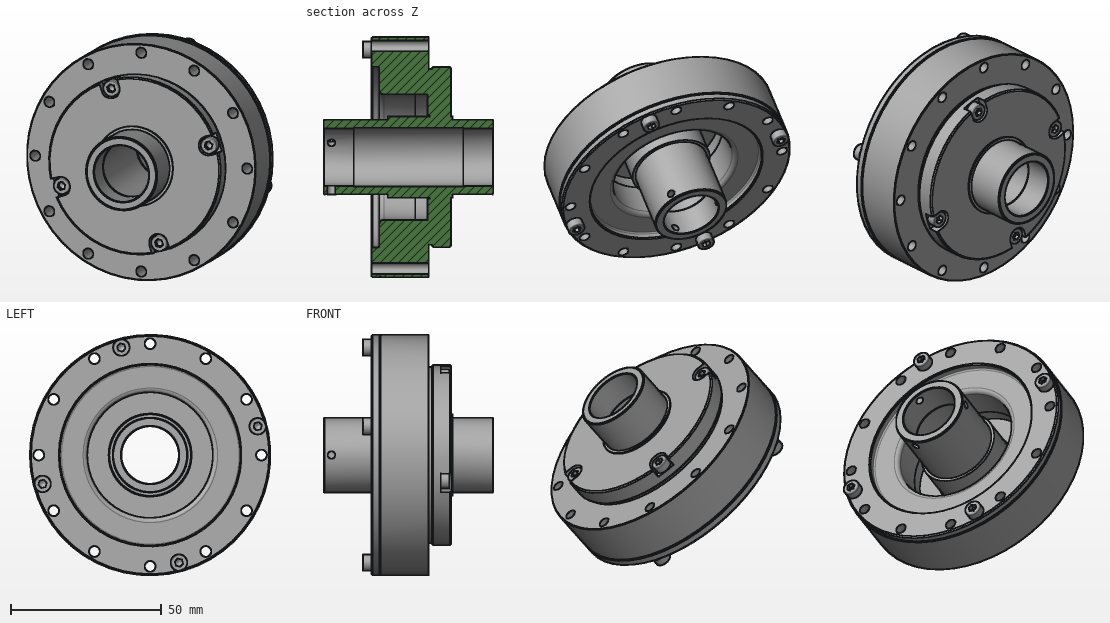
import cadquery as cq
import math


tube_length = 56.5
tube_diameter = 25.0
bore_diameter = 19.0
bore_chamfer = 0.2
bore_land_length = 10.0
bore_relief_diameter = 19.5
tube_chamfer_length = 0.5
tube_chamfer_depth = 0.2
pin_hole_diameter = 2.5
pin_hole_x = 2.6
pin_hole_count = 3

collar_diameter = 27.0
collar_start = 21.3
collar_end = 42.9
collar_groove_diameter = 27.7
collar_groove_depth = 0.8

housing_diameter = 80.0
flange_face = 15.9
flange_chamfer = 0.5
groove_start = 18.6
groove_width = 0.5
groove_depth = 0.2
body_end = 35.0
body_chamfer = 0.2

recess_diameter = 60.0
recess_depth = 2.6
recess_chamfer = 0.4
recess_fillet = 0.5
cavity_diameter = 41.7
cavity_mouth_fillet = 1.5
cavity_floor = 34.5
cavity_rear_diameter = 41.8
cavity_rear_start = 30.5

neck_diameter = 58.6
ring_diameter = 60.0
ring_start = 36.0
ring_end = 42.4
ring_chamfer = 0.5

flange_bolt_circle = 74.0
flange_hole_diameter = 3.5
flange_hole_count = 12
screw_count = 4
flange_screw_angle = -15.0
head_diameter = 5.5
head_height = 2.9
head_fillet = 0.2
socket_across_flats = 2.5
socket_depth = 1.5
socket_point_angle = 120.0

ring_bolt_circle = 54.0
ring_screw_angle = 18.0
ring_slot_width = 6.5
ring_slot_floor = 39.0


def turned(x_start, x_end, diameter):
    """Cylinder along X."""
    return cq.Workplane("YZ", origin=(x_start, 0, 0)).circle(diameter / 2).extrude(x_end - x_start)


def around_axis(shape, angle):
    """Shape turned about the X axis; positive angles run from +Y towards +Z."""
    return shape.rotate((0, 0, 0), (1, 0, 0), angle)


def make_housing():
    groove_end = groove_start + groove_width
    flange = turned(flange_face, groove_start, housing_diameter).faces("<X").chamfer(flange_chamfer)
    groove = turned(groove_start, groove_end, housing_diameter - 2 * groove_depth)
    body = turned(groove_end, body_end, housing_diameter).faces(">X").chamfer(body_chamfer)
    neck = turned(body_end, ring_start, neck_diameter)
    ring = turned(ring_start, ring_end, ring_diameter).faces("<X or >X").chamfer(ring_chamfer)
    return flange.union(groove).union(body).union(neck).union(ring)


def cut_front_opening(housing):
    recess_floor = flange_face + recess_depth
    recess = turned(flange_face, recess_floor, recess_diameter)
    recess = recess.faces(">X").edges().fillet(recess_fillet)
    cavity = turned(recess_floor, cavity_floor, cavity_diameter)
    cavity_rear = turned(cavity_rear_start, cavity_floor, cavity_rear_diameter)
    collar_groove = turned(cavity_floor, cavity_floor + collar_groove_depth, collar_groove_diameter)
    housing = housing.cut(recess).cut(cavity).cut(cavity_rear).cut(collar_groove)
    inner_edge = cq.selectors.RadiusNthSelector(0)
    recess_floor_face = cq.selectors.NearestToPointSelector((recess_floor, 0, 0))
    housing = housing.faces("|X").faces(recess_floor_face).edges(inner_edge).fillet(cavity_mouth_fillet)
    return housing.faces("<X").edges(inner_edge).chamfer(recess_chamfer)


def make_tube():
    tube = turned(0, tube_length, tube_diameter)
    tube = tube.faces("<X").chamfer(tube_chamfer_length, tube_chamfer_depth)
    tube = tube.faces(">X").chamfer(tube_chamfer_depth, tube_chamfer_length)
    collar = turned(collar_start, collar_end, collar_diameter)
    return tube.union(collar)


def cut_bore(part):
    """Through bore with chamfered ends and a slightly wider relief between its two lands."""
    bore = turned(0, tube_length, bore_diameter)
    relief = turned(bore_land_length, tube_length - bore_land_length, bore_relief_diameter)
    bore_rims = cq.selectors.RadiusNthSelector(0)
    part = part.cut(bore)
    part = part.faces("<X or >X").edges(bore_rims).chamfer(bore_chamfer)
    return part.cut(relief)


def cut_pin_holes(part):
    """Radial holes through the tube wall, the first one towards -Y."""
    hole = cq.Workplane("XZ", origin=(pin_hole_x, 0, 0)).circle(pin_hole_diameter / 2).extrude(tube_diameter)
    for i in range(pin_hole_count):
        part = part.cut(around_axis(hole, i * 360 / pin_hole_count))
    return part


def make_screw_head(seat_x, bolt_circle, angle, top):
    """Socket head on a seat at seat_x; top is -1 or 1 for a head rising towards -X or +X."""
    head = turned(0, head_height, head_diameter).faces(">X").edges().fillet(head_fillet)
    corner_diameter = socket_across_flats / math.cos(math.radians(30))
    cone_height = corner_diameter / 2 / math.tan(math.radians(socket_point_angle / 2))
    hexagon = cq.Workplane("YZ").polygon(6, corner_diameter).extrude(head_height)
    pointed_bore = (
        cq.Workplane("XY")
        .moveTo(head_height - socket_depth - cone_height, 0)
        .lineTo(head_height - socket_depth, corner_diameter / 2)
        .lineTo(head_height, corner_diameter / 2)
        .lineTo(head_height, 0)
        .close()
        .revolve(360, (0, 0, 0), (1, 0, 0))
    )
    head = head.cut(hexagon.intersect(pointed_bore))
    if top < 0:
        head = head.mirror("YZ")
    return around_axis(head.translate((seat_x, bolt_circle / 2, 0)), angle)


def cut_flange_holes(part):
    hole = turned(flange_face, body_end, flange_hole_diameter).translate((0, flange_bolt_circle / 2, 0))
    for i in range(flange_hole_count):
        part = part.cut(around_axis(hole, i * 360 / flange_hole_count))
    return part


def add_flange_screws(part):
    for i in range(screw_count):
        angle = flange_screw_angle + i * 360 / screw_count
        part = part.union(make_screw_head(flange_face, flange_bolt_circle, angle, -1))
    return part


def add_ring_screws(part):
    """Round-ended slots open to the rim of the ring, with a screw head at the end of each."""
    slot_depth = ring_end - ring_slot_floor
    slot_length = (ring_diameter - ring_bolt_circle) / 2 + ring_slot_width
    rounded_end = turned(ring_slot_floor, ring_end, ring_slot_width)
    channel = cq.Workplane("XY", origin=(ring_slot_floor, 0, 0))
    channel = channel.box(slot_depth, slot_length, ring_slot_width, centered=(False, False, True))
    slot = rounded_end.union(channel).translate((0, ring_bolt_circle / 2, 0))
    for i in range(screw_count):
        angle = ring_screw_angle + i * 360 / screw_count
        part = part.cut(around_axis(slot, angle))
        part = part.union(make_screw_head(ring_slot_floor, ring_bolt_circle, angle, 1))
    return part


part = cut_front_opening(make_housing()).union(make_tube())
part = cut_pin_holes(cut_bore(part))
part = cut_flange_holes(part)
part = add_flange_screws(part)
result = add_ring_screws(part)